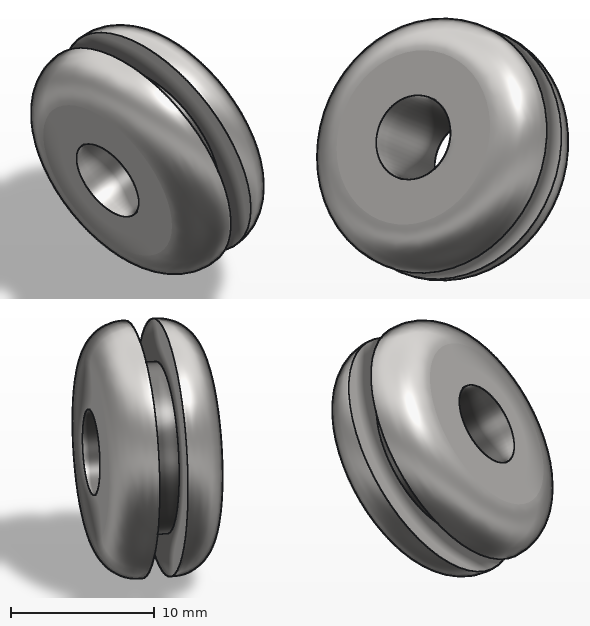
import cadquery as cq

outer_diameter = 18.0
total_width = 8.0
groove_width = 2.0
neck_diameter = 12.0
bore_diameter = 6.0
rim_radius = 2.8

flange_width = (total_width - groove_width) / 2


def cylinder_along_y(diameter, start_y, length):
    """Solid cylinder on the Y axis, running from start_y toward +Y."""
    return cq.Workplane("XZ", origin=(0, start_y, 0)).circle(diameter / 2).extrude(-length)


def flange(start_y, outer_face):
    """Disc whose outer rim is rounded, leaving a narrow straight land at the groove."""
    disc = cylinder_along_y(outer_diameter, start_y, flange_width)
    return disc.faces(outer_face).edges().fillet(rim_radius)


front_flange = flange(-total_width / 2, "<Y")
back_flange = flange(groove_width / 2, ">Y")
neck = cylinder_along_y(neck_diameter, -groove_width / 2, groove_width)
bore = cylinder_along_y(bore_diameter, -total_width / 2, total_width)

result = front_flange.union(neck).union(back_flange).cut(bore)